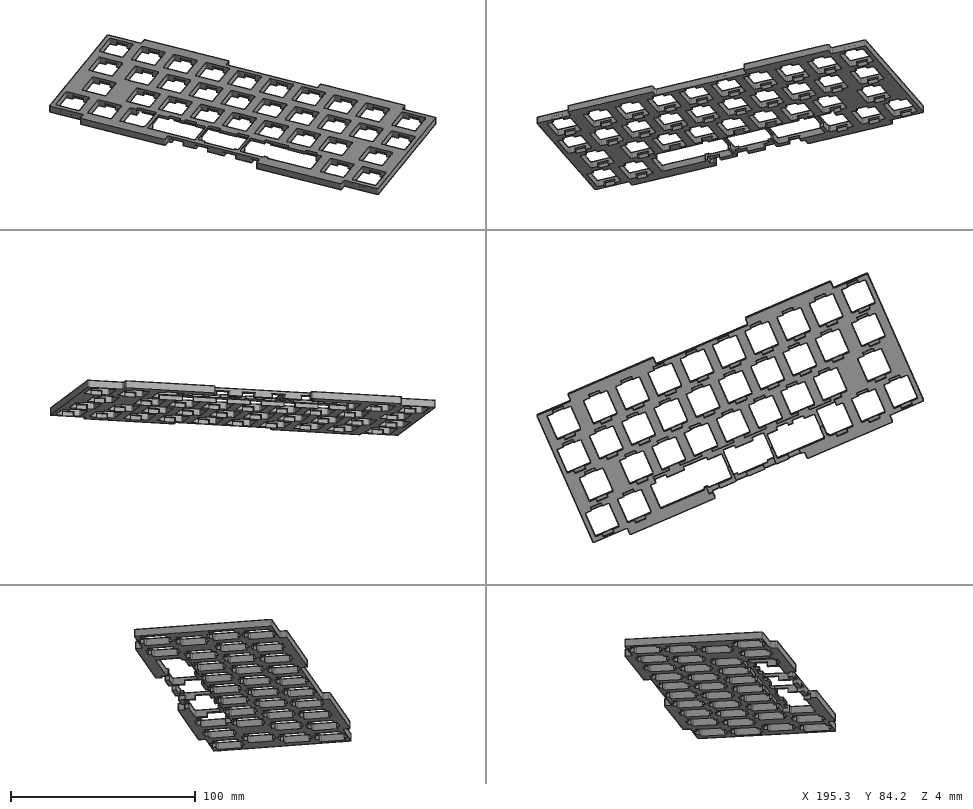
import cadquery as cq
length = 195.3
columns = 10.25
rows = 4
unit = length / columns
thickness = 4.0
depth = 84.2
body_depth = rows * unit
corner_radius = 0.5

tab_inner = 27.1
tab_outer = 77.5

key_size = 14.0
half_key = key_size / 2
opening_radius = 0.5
skin = 1.5
recess_height = thickness - skin
clip_width = 6.2
clip_reach = 1.8

key_rows = [
    [0.5 + n for n in range(9)] + [9.625],
    [0.625] + [1.75 + n for n in range(9)],
    [0.875] + [2.25 + n for n in range(7)] + [9.5],
    [0.5, 1.5, 2.5, 8.75, 9.75],
]

notch_back = -20.0
front_row = 1.5 * unit
wide_back = half_key - front_row
wide_front = -half_key - front_row
ledge_front = -34.5
wide_openings = [
    (-53.3, -42.2, ledge_front, notch_back),
    (-40.2, -12.3, wide_front, wide_back),
    (-11.0, 13.0, ledge_front, wide_back),
    (-6.8, 11.0, wide_front, wide_back),
    (14.5, 28.5, wide_front, wide_back),
    (27.7, 31.6, ledge_front, wide_back),
    (30.7, 56.6, wide_front, wide_back),
]
notches = [(-34.4, -27.7), (-25.0, -18.4), (-11.0, -4.1), (6.2, 12.9), (22.7, 36.5), (46.7, 53.3)]

hollow_left = -53.3
hollow_right = 53.3
hollow_front = -29.0
hollow_back = -18.0
slot_centres = [-21.7, -7.2, 9.5, 26.0]
slot_width = 6.6
slot_edge_radius = 0.5


def box(left, right, front, back, bottom=0.0, top=thickness):
    """Upright block given by its limits along X, Y and Z."""
    return cq.Workplane("XY").box(right - left, back - front, top - bottom, centered=False).translate(
        (left, front, bottom)
    )


def rounded_box(left, right, front, back):
    """Full-height opening with rounded upright corners."""
    return box(left, right, front, back).edges("|Z").fillet(opening_radius)


def make_plate():
    """Solid plate with two tabs on each long side and rounded upright corners."""
    plate = box(-length / 2, length / 2, -body_depth / 2, body_depth / 2)
    for left in (-tab_outer, tab_inner):
        plate = plate.union(box(left, left + tab_outer - tab_inner, -depth / 2, depth / 2))
    return plate.edges("|Z").fillet(corner_radius)


def key_cutter(x, y):
    """Square switch opening with a clip recess below its front and back edges."""
    opening = rounded_box(x - half_key, x + half_key, y - half_key, y + half_key)
    reach = half_key + clip_reach
    clips = box(x - clip_width / 2, x + clip_width / 2, y - reach, y + reach, top=recess_height)
    return opening.union(clips)


result = make_plate()

for row, centres in enumerate(key_rows):
    y = ((rows - 1) / 2 - row) * unit
    for centre in centres:
        result = result.cut(key_cutter(centre * unit - length / 2, y))

for limits in wide_openings:
    result = result.cut(rounded_box(*limits))
for left, right in notches:
    result = result.cut(rounded_box(left, right, -front_row, notch_back))

result = result.cut(box(hollow_left, hollow_right, hollow_front, hollow_back, top=recess_height))

slot_front = -body_depth / 2 - corner_radius
for x in slot_centres:
    slot = box(x - slot_width / 2, x + slot_width / 2, slot_front, -front_row, top=recess_height)
    result = result.cut(slot)

margin = 0.2
slot_mouths = cq.selectors.BoxSelector(
    (-tab_inner, -body_depth / 2 - margin, recess_height / 2 - margin),
    (slot_centres[-1], -body_depth / 2 + margin, recess_height / 2 + margin),
)
result = result.edges("|Z").edges(slot_mouths).fillet(slot_edge_radius)